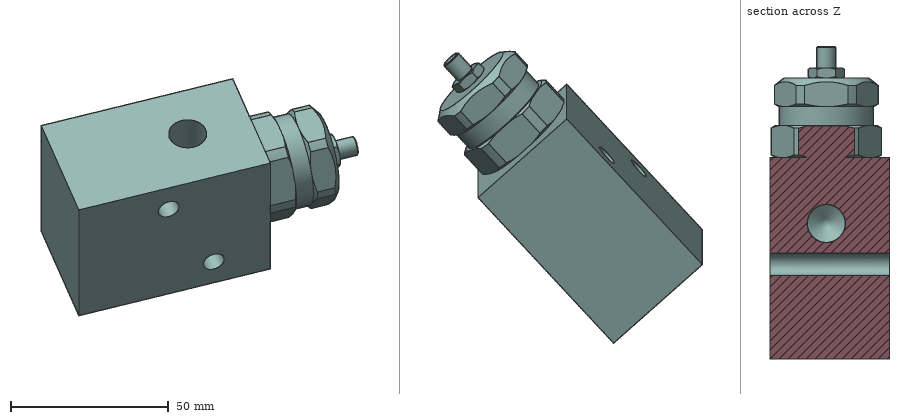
import cadquery as cq
import math

total_length = 99.0
block_width = 38.0
block_length = 64.0
block_height = 50.0
axis_offset = 17.9

cross_hole_diameter = 6.9
cross_hole_inset = 10.0
upper_hole_from_front = 30.0
lower_hole_from_front = 45.0

port_diameter = 12.0
port_from_front = 43.0
port_depth = 14.85
drill_point_angle = 118.0

base_nut_flats = 32.0
base_nut_diameter = 35.0
base_nut_face_diameter = 32.5
base_nut_length = 10.0

collar_diameter = 30.0
collar_length = 6.0

cap_nut_flats = 30.0
cap_nut_diameter = 33.0
cap_nut_face_diameter = 26.9
cap_nut_length = 9.1
cap_nut_chamfer = 2.4

lock_nut_flats = 10.0
lock_nut_face_diameter = 10.1
lock_nut_length = 3.2
stem_diameter = 6.1
stem_chamfer = 0.3

nut_chamfer_angle = 30.0


def corner_diameter(flats):
    """Distance across the corners of a sharp hexagon."""
    return flats / math.cos(math.radians(30))


def chamfer_length(diameter, face_diameter):
    """Axial length of a standard nut chamfer."""
    return (diameter - face_diameter) / 2 * math.tan(math.radians(nut_chamfer_angle))


def cylinder_along_y(start, diameter, length):
    """Cylinder on the valve axis, growing towards +Y."""
    plane = cq.Workplane("XZ", origin=(0, start, 0))
    return plane.circle(diameter / 2).extrude(-length)


def hex_nut(start, length, flats, diameter, near_face, far_face, far_chamfer):
    """Hexagon with flats facing +Z and -Z, trimmed by a turned, chamfered profile."""
    end = start + length
    hexagon = (
        cq.Workplane("XZ", origin=(0, start, 0))
        .polygon(6, corner_diameter(flats))
        .extrude(-length)
    )
    near_chamfer = chamfer_length(diameter, near_face)
    turned = (
        cq.Workplane("XY")
        .moveTo(0, start)
        .lineTo(near_face / 2, start)
        .lineTo(diameter / 2, start + near_chamfer)
        .lineTo(diameter / 2, end - far_chamfer)
        .lineTo(far_face / 2, end)
        .lineTo(0, end)
        .close()
        .revolve(360, (0, 0, 0), (0, 1, 0))
    )
    return hexagon.intersect(turned)


block = (
    cq.Workplane("XY")
    .box(block_width, block_length, block_height, centered=(False, False, True))
    .translate((-axis_offset, 0, 0))
)

hole_height = block_height / 2 - cross_hole_inset
cross_holes = (
    cq.Workplane("YZ", origin=(-axis_offset, 0, 0))
    .pushPoints([(upper_hole_from_front, hole_height), (lower_hole_from_front, -hole_height)])
    .circle(cross_hole_diameter / 2)
    .extrude(block_width)
)

port_radius = port_diameter / 2
drill_point_length = port_radius / math.tan(math.radians(drill_point_angle / 2))
port = (
    cq.Workplane("XZ")
    .moveTo(0, 0)
    .lineTo(port_radius, 0)
    .lineTo(port_radius, -port_depth)
    .lineTo(0, -port_depth - drill_point_length)
    .close()
    .revolve(360, (0, 0, 0), (0, 1, 0))
    .translate((0, port_from_front, block_height / 2))
)

collar_start = block_length + base_nut_length
cap_nut_start = collar_start + collar_length
lock_nut_start = cap_nut_start + cap_nut_length
stem_start = lock_nut_start + lock_nut_length
lock_nut_diameter = corner_diameter(lock_nut_flats)

base_nut = hex_nut(
    block_length, base_nut_length, base_nut_flats, base_nut_diameter,
    base_nut_face_diameter, base_nut_face_diameter,
    chamfer_length(base_nut_diameter, base_nut_face_diameter),
)
collar = cylinder_along_y(collar_start, collar_diameter, collar_length)
cap_nut = hex_nut(
    cap_nut_start, cap_nut_length, cap_nut_flats, cap_nut_diameter,
    collar_diameter, cap_nut_face_diameter, cap_nut_chamfer,
)
lock_nut = hex_nut(
    lock_nut_start, lock_nut_length, lock_nut_flats, lock_nut_diameter,
    lock_nut_face_diameter, lock_nut_face_diameter,
    chamfer_length(lock_nut_diameter, lock_nut_face_diameter),
)
stem = cylinder_along_y(stem_start, stem_diameter, total_length - stem_start)
stem = stem.faces(">Y").chamfer(stem_chamfer)

result = block.cut(cross_holes).cut(port)
for piece in (base_nut, collar, cap_nut, lock_nut, stem):
    result = result.union(piece)